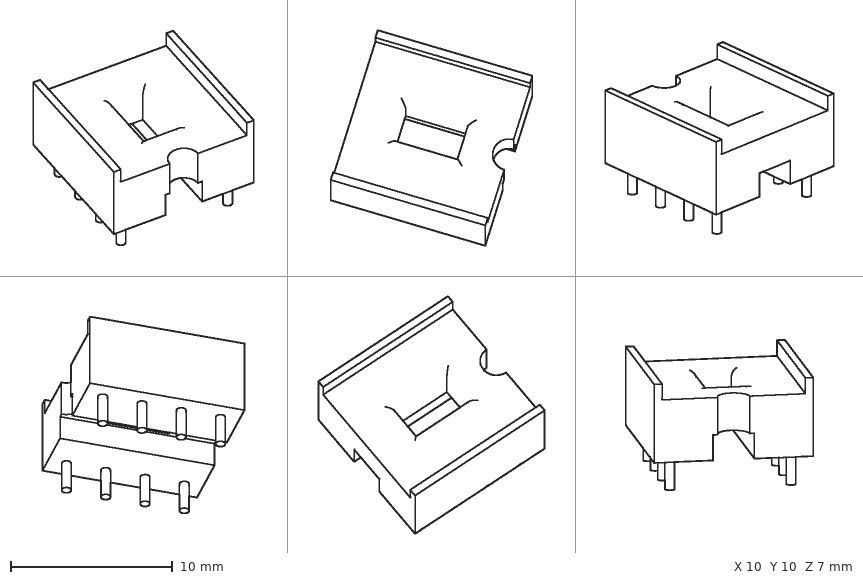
import cadquery as cq

body_side = 10.0
body_height = 5.0
wall_thickness = 0.5
wall_height = 1.0
deck_height = body_height - wall_height

channel_width = 2.6
channel_height = 1.62

window_length = 4.0
window_width = 2.2
rim_radius = 0.5

notch_radius = 1.0

pin_diameter = 0.6
pin_length = 2.0
pin_pitch = 2.54
row_spacing = 7.62
pins_per_row = 4
row_count = 2


def make_body():
    """Block with its underside at Z = 0, recessed between the walls and channelled below."""
    block = cq.Workplane("XY").box(body_side, body_side, body_height, centered=(True, True, False))
    recess = (
        cq.Workplane("XY", origin=(0, 0, deck_height))
        .rect(body_side, body_side - 2 * wall_thickness)
        .extrude(wall_height)
    )
    channel = cq.Workplane("XY").rect(body_side, channel_width).extrude(channel_height)
    return block.cut(recess).cut(channel)


def cut_window(body):
    """Open the window through the deck and round its upper edges."""
    window = cq.Workplane("XY").rect(window_length, window_width).extrude(deck_height)
    rim_selector = cq.selectors.BoxSelector(
        (-window_length / 2 - rim_radius, -window_width / 2 - rim_radius, deck_height - rim_radius),
        (window_length / 2 + rim_radius, window_width / 2 + rim_radius, deck_height + rim_radius),
    )
    return body.cut(window).edges(rim_selector).fillet(rim_radius)


def cut_notch(body):
    """Cut the half-round notch through the full height of the deck."""
    notch = cq.Workplane("XY").center(body_side / 2, 0).circle(notch_radius).extrude(deck_height)
    return body.cut(notch)


def make_pins():
    """Both rows of pins, hanging from the underside."""
    return (
        cq.Workplane("XY")
        .rarray(pin_pitch, row_spacing, pins_per_row, row_count)
        .circle(pin_diameter / 2)
        .extrude(-pin_length)
    )


result = cut_notch(cut_window(make_body())).union(make_pins())